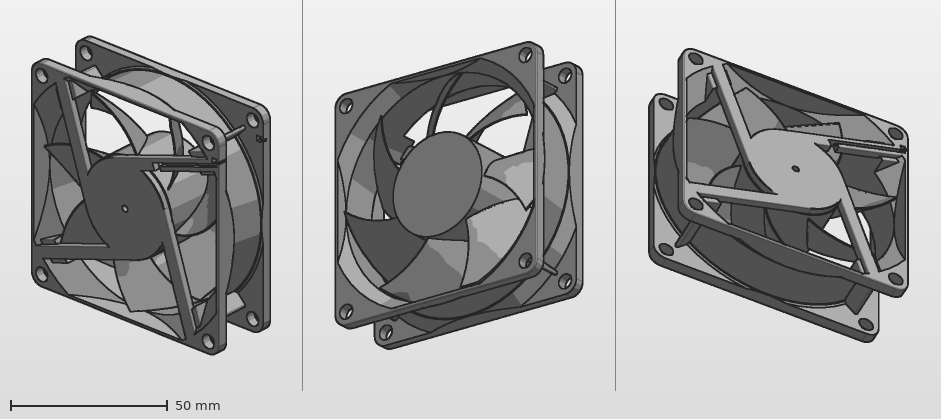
import cadquery as cq
import math

SIDE = 80.0
DEPTH = 25.0
FLANGE_THICKNESS = 3.7
CORNER_RADIUS = 4.4
EDGE_ROUND = 0.3
HOLE_OFFSET = 35.5
HOLE_DIAMETER = 5.0

BORE_RADIUS = 38.6
BARREL_RADIUS = 39.6
FLARE_WALL = 1.6
FLARE_LIP = 0.2
FRONT_FLARE_DEPTH = 7.3
BACK_FLARE_DEPTH = 4.2
MOUTH_HALF_WIDTH = 38.9

FRONT_Y = -DEPTH / 2
BACK_Y = DEPTH / 2
BORE_FRONT_Y = FRONT_Y + FRONT_FLARE_DEPTH
BORE_BACK_Y = BACK_Y - BACK_FLARE_DEPTH
MOUTH_FRONT_RADIUS = BORE_RADIUS + FRONT_FLARE_DEPTH
MOUTH_BACK_RADIUS = BORE_RADIUS + BACK_FLARE_DEPTH

RIB_COUNT = 4
RIB_ANGLE = 45.0
RIB_THICKNESS = 1.4
RIB_TIP_RADIUS = 45.6
RIB_ROOT_RADIUS = 38.9

PLATE_RADIUS = 17.4
PLATE_THICKNESS = 2.5
SHAFT_HOLE_DIAMETER = 2.2
MOUNT_ROUND = 0.2
STRUT_COUNT = 4
STRUT_ANGLE = 18.0
STRUT_WIDTH = 4.5
STRUT_INNER = PLATE_RADIUS - STRUT_WIDTH
STRUT_REACH = 46.4
PAD_INNER = 11.4
PAD_OUTER = 19.4
PAD_DEPTH = 1.4

GROOVE_BOTTOM = 14.6
GROOVE_TOP = 15.8
GROOVE_DEPTH = 1.4
NOTCH_START = 17.4
NOTCH_END = 20.2
HOOK_LEFT = 37.3
HOOK_RIGHT = 38.9
HOOK_BOTTOM = 28.8
HOOK_TOP = 30.7
HOOK_SLOT_BOTTOM = 29.3
HOOK_SLOT_WIDTH = 0.6
HOOK_RECESS_DEPTH = 1.4

BLADE_COUNT = 7
BLADE_THICKNESS = 0.4
ROTOR_RADIUS = 17.6
PLATE_CLEARANCE = 0.3
ROTOR_SETBACK = 1.0
ROTOR_FRONT_Y = FRONT_Y + PLATE_THICKNESS + PLATE_CLEARANCE
ROTOR_BACK_Y = BACK_Y - ROTOR_SETBACK
TIP_RADIUS = 37.9
LEADING_ANGLE_ROOT = -15.8
LEADING_ANGLE_TIP = 12.6
SWEEP_ROOT = 45.0
SWEEP_TIP = 39.7
LEADING_DEPTH_ROOT = 4.3
LEADING_DEPTH_TIP = 2.8
TRAILING_DEPTH = 22.4
CAMBER_ROOT = 0.7
CAMBER_TIP = 0.35
BLADE_OVERRUN = 0.06
SPAN_STEPS = 6
CHORD_STEPS = 10


def block(left, right, bottom, top, front, back):
    """Box between the given X, Z and Y limits."""
    body = cq.Workplane("XY").box(right - left, back - front, top - bottom, centered=False)
    return body.translate((left, front, bottom))


def turn(body, angle):
    """Turn a body counter-clockwise about the fan axis, as seen from the front."""
    return body.rotate((0, 0, 0), (0, 1, 0), -angle)


def revolve(profile):
    """Solid of revolution about the fan axis from (radius, y) points."""
    return cq.Workplane("XY").polyline(profile).close().revolve(360, (0, 0, 0), (0, 1, 0))


def disc(radius, front, back):
    """Cylinder on the fan axis."""
    return cq.Workplane("XZ", origin=(0, front, 0)).circle(radius).extrude(front - back)


def flange(front):
    """Square plate with round corners, its front face at the given Y."""
    body = block(-SIDE / 2, SIDE / 2, -SIDE / 2, SIDE / 2, front, front + FLANGE_THICKNESS)
    return body.edges("|Y").fillet(CORNER_RADIUS)


def shell():
    """Barrel with its two flares, trimmed flush with the sides of the square flanges."""
    front_end = BORE_FRONT_Y + FLARE_LIP
    back_end = BORE_BACK_Y - FLARE_LIP
    front_face = FRONT_Y + FLANGE_THICKNESS
    back_face = BACK_Y - FLANGE_THICKNESS
    flare_start = BORE_RADIUS + FLARE_WALL - FLARE_LIP
    front_radius = flare_start + front_end - front_face
    back_radius = flare_start + back_face - back_end
    barrel = revolve([
        (0, front_face), (front_radius, front_face), (flare_start, front_end), (BARREL_RADIUS, front_end),
        (BARREL_RADIUS, back_end), (flare_start, back_end), (back_radius, back_face), (0, back_face),
    ])
    return barrel.intersect(block(-SIDE / 2, SIDE / 2, -SIDE / 2, SIDE / 2, FRONT_Y, BACK_Y))


def mouth(face_y, depth):
    """Drafted square that gives an opening its flat sides; it narrows to the bore."""
    draft = math.degrees(math.atan((MOUTH_HALF_WIDTH - BORE_RADIUS) / depth))
    inward = cq.Plane(origin=(0, face_y, 0), xDir=(1, 0, 0), normal=(0, -math.copysign(1, face_y), 0))
    return cq.Workplane(inward).rect(2 * MOUTH_HALF_WIDTH, 2 * MOUTH_HALF_WIDTH).extrude(depth, taper=draft)


def air_passage():
    """Bore that widens at 45 degrees into a flat-sided mouth at each end."""
    front = revolve([
        (0, FRONT_Y), (MOUTH_FRONT_RADIUS, FRONT_Y), (BORE_RADIUS, BORE_FRONT_Y), (0, BORE_FRONT_Y),
    ]).intersect(mouth(FRONT_Y, FRONT_FLARE_DEPTH))
    back = revolve([
        (0, BACK_Y), (MOUTH_BACK_RADIUS, BACK_Y), (BORE_RADIUS, BORE_BACK_Y), (0, BORE_BACK_Y),
    ]).intersect(mouth(BACK_Y, BACK_FLARE_DEPTH))
    return front.union(disc(BORE_RADIUS, BORE_FRONT_Y, BORE_BACK_Y)).union(back)


def rib():
    """Diagonal plate with a rounded outer edge, running from flange to flange."""
    half = RIB_THICKNESS / 2
    front = FRONT_Y + FLANGE_THICKNESS
    back = BACK_Y - FLANGE_THICKNESS
    plate = block(RIB_ROOT_RADIUS, RIB_TIP_RADIUS - half, -half, half, front, back)
    edge = disc(half, front, back).translate((RIB_TIP_RADIUS - half, 0, 0))
    return plate.union(edge)


def strut():
    """Bar along +X whose outer side is tangent to the motor plate."""
    return block(0, STRUT_REACH, STRUT_INNER, PLATE_RADIUS, FRONT_Y, FRONT_Y + PLATE_THICKNESS)


def pad():
    """Wider block under the outer end of a strut, reaching down to the bore."""
    body = block(0, STRUT_REACH, PAD_INNER, PAD_OUTER, FRONT_Y + PAD_DEPTH, BORE_FRONT_Y)
    body = body.faces("<Y").edges().fillet(MOUNT_ROUND)
    return body.cut(disc(BORE_RADIUS, FRONT_Y, BACK_Y))


def motor_mount(passage):
    """Everything that stands inside the air passage."""
    angles = [STRUT_ANGLE + index * 360 / STRUT_COUNT for index in range(STRUT_COUNT)]
    body = disc(PLATE_RADIUS, FRONT_Y, FRONT_Y + PLATE_THICKNESS)
    for angle in angles:
        body = body.union(turn(strut(), angle))
    body = body.faces("<Y").edges().fillet(MOUNT_ROUND)
    for angle in angles:
        body = body.union(turn(pad(), angle))
    return body.intersect(passage)


def hook(front, back):
    """Small pocket with a slot that opens to the +X side of a flange."""
    pocket = block(HOOK_LEFT, HOOK_RIGHT, HOOK_BOTTOM, HOOK_TOP, front, back)
    slot_top = HOOK_SLOT_BOTTOM + HOOK_SLOT_WIDTH
    return pocket.union(block(HOOK_RIGHT, SIDE / 2, HOOK_SLOT_BOTTOM, slot_top, front, back))


def cable_channel():
    """Notch through the strut, groove along it, and the hook slot at the frame edge."""
    notch = block(NOTCH_START, NOTCH_END, STRUT_INNER, GROOVE_TOP, FRONT_Y, FRONT_Y + PLATE_THICKNESS)
    groove = block(NOTCH_END, SIDE, GROOVE_BOTTOM, GROOVE_TOP, FRONT_Y, FRONT_Y + GROOVE_DEPTH)
    channel = turn(notch.union(groove), STRUT_ANGLE)
    channel = channel.intersect(block(0, HOOK_RIGHT, 0, SIDE / 2, FRONT_Y, BACK_Y))
    return channel.union(hook(FRONT_Y, FRONT_Y + FLANGE_THICKNESS))


def make_frame():
    front_flange = flange(FRONT_Y).faces("<Y").edges().fillet(EDGE_ROUND)
    back_flange = flange(BACK_Y - FLANGE_THICKNESS).faces(">Y").edges().fillet(EDGE_ROUND)
    passage = air_passage()
    body = shell().union(front_flange).union(back_flange)
    for index in range(RIB_COUNT):
        body = body.union(turn(rib(), RIB_ANGLE + index * 360 / RIB_COUNT))
    body = body.cut(passage).union(motor_mount(passage))
    for x in (-HOLE_OFFSET, HOLE_OFFSET):
        for z in (-HOLE_OFFSET, HOLE_OFFSET):
            body = body.cut(disc(HOLE_DIAMETER / 2, FRONT_Y, BACK_Y).translate((x, 0, z)))
    body = body.cut(disc(SHAFT_HOLE_DIAMETER / 2, FRONT_Y, FRONT_Y + PLATE_THICKNESS))
    rear_face = BACK_Y - FLANGE_THICKNESS
    return body.cut(cable_channel()).cut(hook(rear_face, rear_face + HOOK_RECESS_DEPTH)).solids()


def blend(root, tip, span):
    return root + (tip - root) * span


def blade_point(span, chord):
    """Point of the blade surface; span 0..1 is root to tip, chord 0..1 is front to back edge."""
    radius = blend(ROTOR_RADIUS, TIP_RADIUS, span)
    sweep = blend(SWEEP_ROOT, SWEEP_TIP, span)
    angle = math.radians(blend(LEADING_ANGLE_ROOT, LEADING_ANGLE_TIP, span) + sweep * chord)
    leading = blend(LEADING_DEPTH_ROOT, LEADING_DEPTH_TIP, span)
    rise = chord + blend(CAMBER_ROOT, CAMBER_TIP, span) * chord * (1 - chord)
    y = FRONT_Y + blend(leading, TRAILING_DEPTH, rise)
    return cq.Vector(radius * math.cos(angle), y, radius * math.sin(angle))


def blade():
    """Twisted sheet of even thickness, trimmed to the rotor and tip cylinders."""
    spans = [blend(-BLADE_OVERRUN, 1 + BLADE_OVERRUN, i / SPAN_STEPS) for i in range(SPAN_STEPS + 1)]
    chords = [j / CHORD_STEPS for j in range(CHORD_STEPS + 1)]
    sheet = cq.Face.makeSplineApprox([[blade_point(s, c) for c in chords] for s in spans])
    body = cq.Workplane(sheet.thicken(-BLADE_THICKNESS))
    return body.intersect(disc(TIP_RADIUS, FRONT_Y, BACK_Y))


def make_impeller():
    body = disc(ROTOR_RADIUS, ROTOR_FRONT_Y, ROTOR_BACK_Y)
    single = blade()
    for index in range(BLADE_COUNT):
        body = body.union(turn(single, index * 360 / BLADE_COUNT))
    return body.solids()


frame = make_frame()
impeller = make_impeller()
result = cq.Compound.makeCompound([frame.val(), impeller.val()])